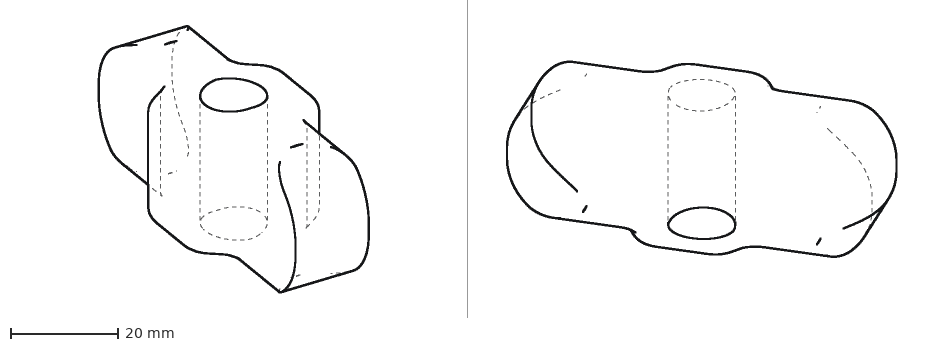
import cadquery as cq
import math

length = 71.1
hub_width = 29.2
arm_width = 16.0
height = 28.1

hub_flat = 10.1
flank_angle = math.radians(60)
hub_corner_radius = 6.0
arm_corner_radius = 3.0

crown_angle = math.radians(5)
end_radius = 12.8
end_height = 27.9
edge_radius = 3.05
bore_diameter = 12.5

hub_corner_x = hub_flat / 2 + hub_corner_radius * math.tan(flank_angle / 2)
arm_corner_x = hub_corner_x + (hub_width - arm_width) / 2 / math.tan(flank_angle)


def corner_selector(x, y):
    """Select the four vertical edges at mirrored plan positions."""
    size = 0.1
    selector = None
    for sx in (-1, 1):
        for sy in (-1, 1):
            box = cq.selectors.BoxSelector(
                (sx * x - size, sy * y - size, -height),
                (sx * x + size, sy * y + size, height),
            )
            selector = box if selector is None else selector + box
    return selector


def plan_prism():
    """Two straight arms with a wider hub between them."""
    quarter = [
        (length / 2, arm_width / 2),
        (arm_corner_x, arm_width / 2),
        (hub_corner_x, hub_width / 2),
    ]
    upper = quarter + [(-x, y) for x, y in reversed(quarter)]
    lower = [(-x, -y) for x, y in upper]
    prism = cq.Workplane("XY").polyline(upper + lower).close().extrude(height / 2, both=True)
    prism = prism.edges(corner_selector(hub_corner_x, hub_width / 2)).fillet(hub_corner_radius)
    return prism.edges(corner_selector(arm_corner_x, arm_width / 2)).fillet(arm_corner_radius)


def crowned_envelope():
    """Section with a shallow ridge along X on the top and bottom."""
    side_y = hub_width / 2
    side_z = height / 2 - side_y * math.tan(crown_angle)
    section = [
        (side_y, -side_z),
        (side_y, side_z),
        (0, height / 2),
        (-side_y, side_z),
        (-side_y, -side_z),
        (0, -height / 2),
    ]
    return cq.Workplane("YZ").polyline(section).close().extrude(length / 2, both=True)


def end_envelope():
    """Rounded ends whose arcs stop just below the ridge, leaving a tiny step there."""
    ends = (
        cq.Workplane("XZ")
        .rect(length, end_height)
        .extrude(hub_width / 2, both=True)
        .edges("|Y")
        .fillet(end_radius)
    )
    middle = cq.Workplane("XY").box(length - 2 * end_radius, hub_width, height)
    return ends.union(middle)


body = plan_prism().intersect(crowned_envelope())

rim = body.edges("not(|Z or <X or >X)").filter(lambda edge: abs(edge.Center().y) > edge_radius)
body = body.newObject(rim.vals()).fillet(edge_radius)

body = body.intersect(end_envelope())
bore = cq.Workplane("XY").circle(bore_diameter / 2).extrude(height, both=True)
result = body.cut(bore)